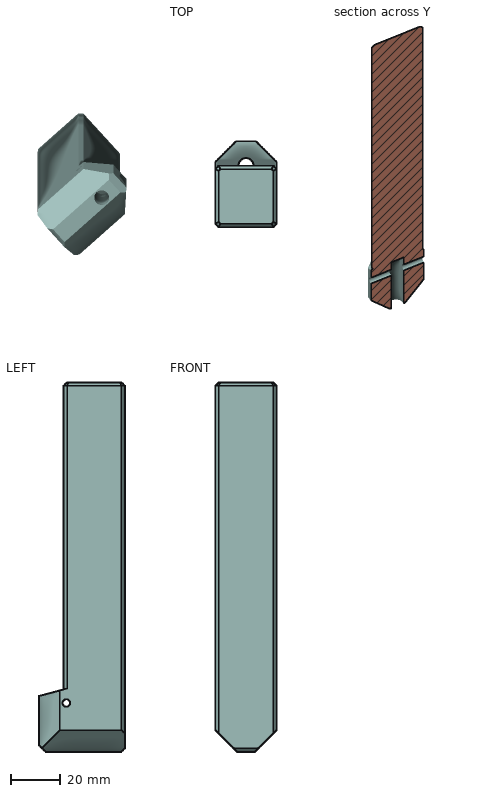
import cadquery as cq
import math

shank_side = 25.0
height = 150.0
edge_chamfer = 1.5

foot_depth = 35.0
foot_back_height = 22.8
foot_slope_angle = 15.0
back_bevel = 8.5
bottom_bevel = 9.0
front_toe_chamfer = 1.6
back_toe_chamfer = 2.8

cross_hole_diameter = 3.0
cross_hole_y = 23.8
cross_hole_z = 20.0
vertical_hole_diameter = 6.0

half_side = shank_side / 2
slope = math.tan(math.radians(foot_slope_angle))


def foot_top(y):
    """Height of the sloping foot top at depth y."""
    return foot_back_height + (foot_depth - y) * slope


def make_shank():
    """Square bar with chamfered upright and top edges."""
    bar = cq.Workplane("XY").box(shank_side, shank_side, height, centered=(True, False, False))
    return bar.edges("|Z").chamfer(edge_chamfer).faces(">Z").edges().chamfer(edge_chamfer)


def make_foot():
    """Side profile of the foot, with the upright back corners bevelled."""
    root_y = shank_side - edge_chamfer
    foot = (
        cq.Workplane("YZ")
        .moveTo(edge_chamfer, 0)
        .lineTo(foot_depth, 0)
        .lineTo(foot_depth, foot_back_height)
        .lineTo(root_y, foot_top(root_y))
        .lineTo(edge_chamfer, foot_top(root_y))
        .close()
        .extrude(half_side, both=True)
    )
    plan = (
        cq.Workplane("XY")
        .box(shank_side, foot_depth, height, centered=(True, False, False))
        .edges("|Z and >Y")
        .chamfer(back_bevel)
    )
    return foot.intersect(plan)


def bevel_bottom(body):
    """Bevel both sides at the bottom and chamfer the front and back of the toe."""
    front_outline = (
        cq.Workplane("XY")
        .box(shank_side, foot_depth, height, centered=(True, False, False))
        .edges("|Y and <Z")
        .chamfer(bottom_bevel)
    )
    side_outline = (
        cq.Workplane("YZ")
        .moveTo(front_toe_chamfer, 0)
        .lineTo(foot_depth - back_toe_chamfer, 0)
        .lineTo(foot_depth, back_toe_chamfer)
        .lineTo(foot_depth, height)
        .lineTo(0, height)
        .lineTo(0, front_toe_chamfer)
        .close()
        .extrude(half_side, both=True)
    )
    return body.intersect(front_outline).intersect(side_outline)


cross_hole = (
    cq.Workplane("YZ")
    .center(cross_hole_y, cross_hole_z)
    .circle(cross_hole_diameter / 2)
    .extrude(half_side, both=True)
)

vertical_hole = (
    cq.Workplane("XY")
    .center(0, shank_side)
    .circle(vertical_hole_diameter / 2)
    .extrude(foot_top(shank_side))
)

body = bevel_bottom(make_shank().union(make_foot()))
result = body.cut(cross_hole).cut(vertical_hole)